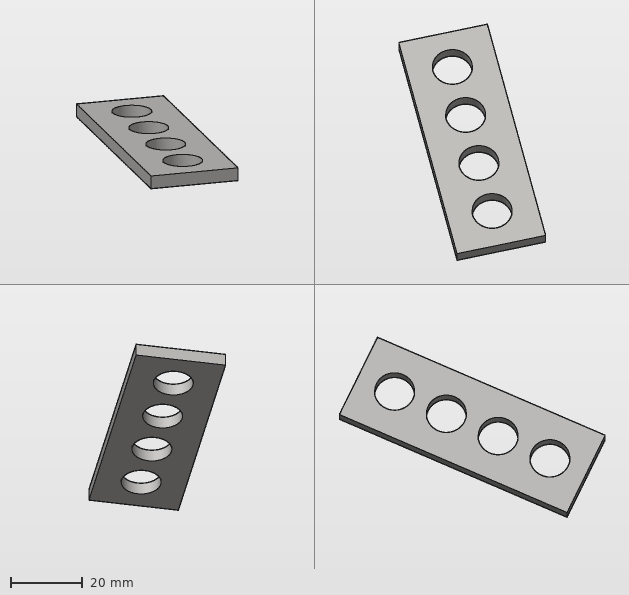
import cadquery as cq

plate_length = 69.85
plate_width = 25.4
plate_thickness = 3.75

hole_count = 4
hole_diameter = 11.1125
hole_pitch = 15.875


def make_plate():
    """Flat rectangular plate centred on the origin."""
    return cq.Workplane("XY").box(plate_length, plate_width, plate_thickness)


def drill_hole_row(plate):
    """Evenly spaced round holes through the full thickness."""
    return (
        plate.faces(">Z")
        .workplane()
        .rarray(hole_pitch, plate_width, hole_count, 1)
        .hole(hole_diameter)
    )


result = drill_hole_row(make_plate())